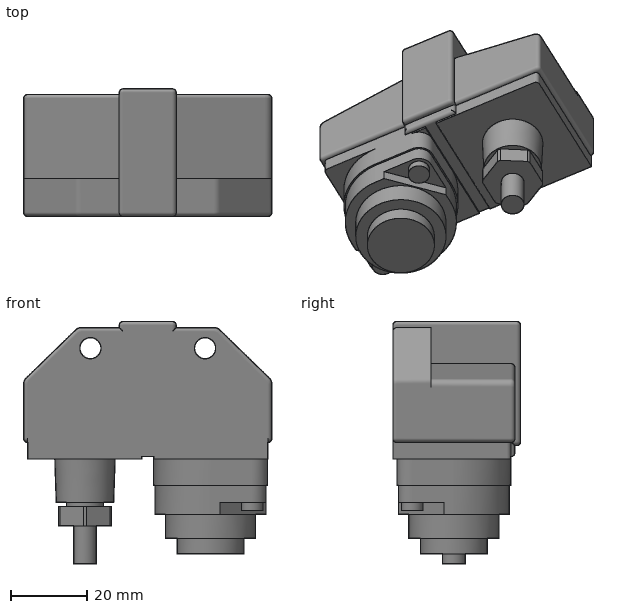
import cadquery as cq
import math


edge_radius = 1.05
corner_radius = 2.0

hood_width = 65
hood_bottom = 4.35
hood_depth = 32.0
shoulder_height = 20.6
plate_depth = 10.0
plate_top = 34.45
plate_top_width = 36.5
rear_slope = math.radians(10)
rear_ridge = shoulder_height + hood_width / 2 * math.tan(rear_slope)

hole_diameter = 5.45
hole_spacing = 30.0
hole_height = 29.05

rib_width = 14.95
rib_depth = 33.5
rib_bottom = 3.5
rib_top = 36.1

base_width = hood_width - 2 * edge_radius
base_depth = hood_depth - edge_radius
notch_width = 3.1
notch_height = 0.65

fitting_spacing = 32.9
fitting_y = 16.0

gland_x = -fitting_spacing / 2
gland_top_diameter = 15.85
gland_tip_diameter = 15.1
gland_bottom = -11.3
neck_diameter = 9.75
nut_top = -12.35
nut_bottom = -17.5
nut_sides = 6
nut_across_flats = 14.0
nut_corner_diameter = 15.65
cable_diameter = 6.0
cable_bottom = -27.4

connector_x = fitting_spacing / 2
flange_radius = 14.95
flange_bottom = -6.9
body_radius = 14.55
body_bottom = -14.4
collar_radius = 11.8
collar_bottom = -20.75
spigot_radius = 8.8
spigot_bottom = -24.8
screw_offset = 10.9
screw_diameter = 5.6
screw_bottom = -13.45
relief_top = -11.3
lug_angle = -45
relief_distance = 12.1


def block(width, depth, z_low, z_high):
    """Block centred on X, from the front face Y = 0 back to the given depth."""
    return cq.Workplane("XY", origin=(0, depth / 2, z_low)).rect(width, depth).extrude(z_high - z_low)


def cylinder(x, y, diameter, z_high, z_low):
    """Vertical cylinder hanging from z_high down to z_low."""
    return cq.Workplane("XY", origin=(x, y, z_low)).circle(diameter / 2).extrude(z_high - z_low)


def front_profile(points, y_front, y_back):
    """Extrude an XZ outline between two Y positions."""
    return cq.Workplane("XZ", origin=(0, y_front, 0)).polyline(points).close().extrude(y_front - y_back)


upper_edges = cq.selectors.BoxSelector(
    (-hood_width, 0, hood_bottom + edge_radius), (hood_width, hood_depth, rib_top)
)


def make_plate():
    half, half_top = hood_width / 2, plate_top_width / 2
    outline = [
        (-half, hood_bottom),
        (-half, shoulder_height),
        (-half_top, plate_top),
        (half_top, plate_top),
        (half, shoulder_height),
        (half, hood_bottom),
    ]
    plate = front_profile(outline, 0, plate_depth)
    plate = plate.edges("|Y").edges(upper_edges).fillet(corner_radius)
    plate = plate.faces("<Z").edges("|Y").fillet(edge_radius)
    plate = plate.faces("<Y").edges().fillet(edge_radius)
    holes = (
        cq.Workplane("XZ", origin=(0, 0, hole_height))
        .pushPoints([(-hole_spacing / 2, 0), (hole_spacing / 2, 0)])
        .circle(hole_diameter / 2)
        .extrude(-plate_depth)
    )
    return plate.cut(holes)


def make_rear_body():
    half = hood_width / 2
    outline = [
        (-half, hood_bottom),
        (-half, shoulder_height),
        (0, rear_ridge),
        (half, shoulder_height),
        (half, hood_bottom),
    ]
    body = front_profile(outline, plate_depth, hood_depth)
    body = body.edges("|Y and (<X or >X)").edges(upper_edges).fillet(corner_radius)
    body = body.faces("<Z").edges("|Y").fillet(edge_radius)
    return body.faces(">Y").edges().fillet(edge_radius)


def make_rib():
    return block(rib_width, rib_depth, rib_bottom, rib_top).edges().fillet(edge_radius)


def make_base():
    base = block(base_width, base_depth, 0, hood_bottom + edge_radius)
    base = base.edges("|Z and >Y").fillet(edge_radius)
    tab = block(rib_width, hood_depth, notch_height, rib_bottom + edge_radius)
    tab = tab.faces(">Y").edges("not >Z").fillet(edge_radius)
    notch = block(notch_width, hood_depth, 0, notch_height)
    return base.union(tab).cut(notch)


def make_gland():
    sleeve = (
        cq.Workplane("XY", origin=(gland_x, fitting_y, 0))
        .circle(gland_top_diameter / 2)
        .workplane(offset=gland_bottom)
        .circle(gland_tip_diameter / 2)
        .loft()
    )
    neck = cylinder(gland_x, fitting_y, neck_diameter, gland_bottom, nut_top)
    nut = (
        cq.Workplane("XY", origin=(gland_x, fitting_y, nut_bottom))
        .polygon(nut_sides, nut_across_flats, circumscribed=True)
        .extrude(nut_top - nut_bottom)
        .intersect(cylinder(gland_x, fitting_y, nut_corner_diameter, nut_top, nut_bottom))
    )
    cable = cylinder(gland_x, fitting_y, cable_diameter, nut_bottom, cable_bottom)
    return sleeve.union(neck).union(nut).union(cable)


def lugged_disc(radius, z_high, z_low):
    """Disc squared off towards +X -Y and -X +Y, with each lug rounded about its screw axis."""
    disc = cylinder(connector_x, fitting_y, 2 * radius, z_high, z_low)
    for side in (1, -1):
        lug = (
            cq.Workplane("XY", origin=(connector_x, fitting_y, z_low))
            .center(side * radius / 2, -side * radius / 2)
            .rect(radius, radius)
            .extrude(z_high - z_low)
            .edges("|Z and >X and <Y" if side == 1 else "|Z and <X and >Y")
            .fillet(radius - screw_offset)
        )
        disc = disc.union(lug)
    return disc


def make_connector():
    flange = lugged_disc(flange_radius, 0, flange_bottom)
    body = lugged_disc(body_radius, flange_bottom, body_bottom)
    collar = cylinder(connector_x, fitting_y, 2 * collar_radius, body_bottom, collar_bottom)
    spigot = cylinder(connector_x, fitting_y, 2 * spigot_radius, collar_bottom, spigot_bottom)
    relief_length = 2 * body_radius
    for side in (1, -1):
        relief = (
            cq.Workplane("XY", origin=(connector_x, fitting_y, body_bottom))
            .transformed(rotate=(0, 0, lug_angle))
            .center(side * (relief_distance + relief_length / 2), 0)
            .rect(relief_length, relief_length)
            .extrude(relief_top - body_bottom)
        )
        screw = cylinder(
            connector_x + side * screw_offset,
            fitting_y - side * screw_offset,
            screw_diameter,
            relief_top,
            screw_bottom,
        )
        body = body.cut(relief).union(screw)
    return flange.union(body).union(collar).union(spigot)


hood = make_plate().union(make_rear_body()).union(make_rib())
result = hood.union(make_base()).union(make_gland()).union(make_connector())